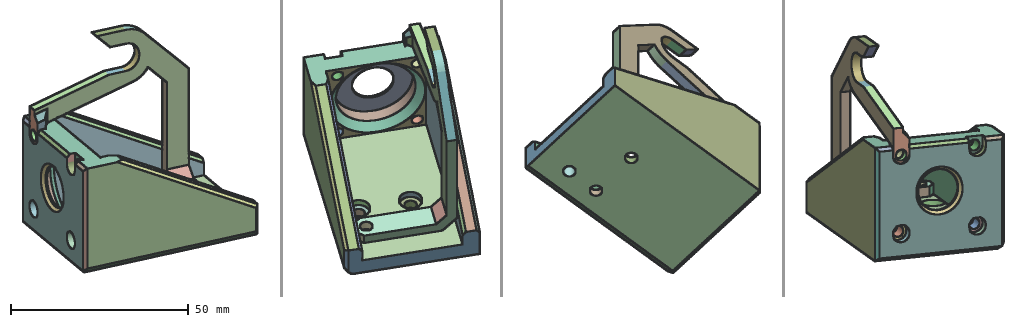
import cadquery as cq
import math

width = 39.0
length = 55.5
wall_top = 33.25
wall = 5.0
face_thickness = 7.6
small_chamfer = 1.0
bottom_edge_chamfer = 2.0
slope_front_y = 12.5
slope_back_z = 9.9

bore_x = 19.1
bore_z = 19.1
bore_diameter = 12.0
bore_land_end = 1.5
boss_recess_diameter = 23.0
flare_diameter = 27.6
motor_screw_pitch = 23.0
screw_diameter = 3.2
screw_head_diameter = 5.0
screw_head_depth = 2.65

floor_hole_diameter = 3.5
floor_head_diameter = 6.5
floor_head_depth = 2.0
floor_hole_y = 35.5
floor_hole_pitch_x = 15.0
floor_hole_right_x = 30.65

side_clearance = 0.2
arm_thickness = 3.0
arm_width = 6.95
arm_back_y = 49.0
arm_top = 57.55
foot_tip_chamfer = 1.95
outer_corner_cut = 4.25
inner_corner_fill = 3.05

hook_y = 29.05
hook_outer_radius = 8.65
hook_inner_radius = 4.25
hook_heel_radius = 8.4
hook_tip_y = 19.7
strut_bend_y = 23.65
strut_angle = math.radians(14.2)

pad_radius = 2.4
pad_shoulder_z = 37.3
gusset_leg = 1.5

left_screw_x = bore_x - motor_screw_pitch / 2
right_screw_x = bore_x + motor_screw_pitch / 2
lower_screw_z = bore_z - motor_screw_pitch / 2
upper_screw_z = bore_z + motor_screw_pitch / 2
upright_front_y = arm_back_y - arm_width
foot_centre_y = arm_back_y - arm_width / 2
arm_left_x = wall + side_clearance
arm_right_x = arm_left_x + arm_thickness


def cylinder_y(x, z, diameter, y_start, depth):
    """Cylinder along +Y."""
    axis = cq.Vector(0, 1, 0)
    return cq.Workplane(cq.Solid.makeCylinder(diameter / 2, depth, cq.Vector(x, y_start, z), axis))


def cylinder_z(x, y, diameter, z_start, depth):
    """Cylinder along +Z."""
    return cq.Workplane(cq.Solid.makeCylinder(diameter / 2, depth, cq.Vector(x, y, z_start)))


def prism_x(points, x_start, x_end):
    """Straight-sided (y, z) outline extruded along X."""
    outline = cq.Workplane("YZ", origin=(x_start, 0, 0)).polyline(points).close()
    return outline.extrude(x_end - x_start)


def prism_y(points, y_start, y_end):
    """Straight-sided (x, z) outline extruded along Y."""
    outline = cq.Workplane("XZ", origin=(0, y_start, 0)).polyline(points).close()
    return outline.extrude(y_start - y_end)


def bracket_shell():
    """Floor, face plate and the two sloping side walls."""
    side_outline = [
        (0, 0), (length, 0), (length, slope_back_z), (slope_front_y, wall_top), (0, wall_top),
    ]
    shell = prism_x(side_outline, 0, width)
    inside = cq.Workplane("XY").box(
        width - 2 * wall, length - face_thickness, wall_top, centered=False
    ).translate((wall, face_thickness, wall))
    shell = shell.cut(inside)

    slope_middle_y = (slope_front_y + length) / 2
    slope_middle_z = (wall_top + slope_back_z) / 2
    for x in (0, wall, width - wall, width):
        edge = cq.selectors.NearestToPointSelector((x, slope_middle_y, slope_middle_z))
        shell = shell.edges(edge).chamfer(small_chamfer)

    shell = shell.faces("<Y").edges().chamfer(small_chamfer)
    return shell.cut(right_side_bevels())


def right_side_bevels():
    """Material removed from the lower and the back edge of the +X side."""
    lower = prism_y(
        [(width, 0), (width - bottom_edge_chamfer, 0), (width, bottom_edge_chamfer)], 0, length
    )
    back = (
        cq.Workplane("XY")
        .polyline([(width, length), (width - small_chamfer, length), (width, length - small_chamfer)])
        .close()
        .extrude(wall_top)
    )
    return lower.union(back)


def cone_y(front_diameter, back_diameter, y_start, depth):
    """Cone frustum about the axis of the bore, along +Y."""
    start = cq.Vector(bore_x, y_start, bore_z)
    return cq.Workplane(
        cq.Solid.makeCone(front_diameter / 2, back_diameter / 2, depth, start, cq.Vector(0, 1, 0))
    )


def motor_bore():
    """Shaft bore with a chamfered mouth and a wider boss recess with a back flared at 45 degrees."""
    bore = cylinder_y(bore_x, bore_z, bore_diameter, 0, face_thickness)
    mouth = cone_y(bore_diameter + 2 * small_chamfer, bore_diameter, 0, small_chamfer)
    flare_depth = (flare_diameter - boss_recess_diameter) / 2
    flare_start = face_thickness - flare_depth
    recess = cylinder_y(
        bore_x, bore_z, boss_recess_diameter, bore_land_end, flare_start - bore_land_end
    )
    flare = cone_y(boss_recess_diameter, flare_diameter, flare_start, flare_depth)
    return bore.union(mouth).union(recess).union(flare)


def motor_screw_hole(x, z):
    """Through hole with a screw head counterbore on the front."""
    hole = cylinder_y(x, z, screw_diameter, 0, face_thickness)
    return hole.union(cylinder_y(x, z, screw_head_diameter, 0, screw_head_depth))


def screw_head_slot(x):
    """Opens the counterbore of an upper screw to the top of the face plate."""
    slot = cq.Workplane("XY").box(
        screw_head_diameter, screw_head_depth, wall_top - upper_screw_z, centered=(True, False, False)
    )
    return slot.translate((x, 0, upper_screw_z))


def make_bracket():
    body = bracket_shell().cut(motor_bore())
    for x in (left_screw_x, right_screw_x):
        for z in (lower_screw_z, upper_screw_z):
            body = body.cut(motor_screw_hole(x, z))
        body = body.cut(screw_head_slot(x))

    for x in (floor_hole_right_x - floor_hole_pitch_x, floor_hole_right_x):
        body = body.cut(cylinder_z(x, floor_hole_y, floor_hole_diameter, 0, wall))
        head_z = wall - floor_head_depth
        body = body.cut(cylinder_z(x, floor_hole_y, floor_head_diameter, head_z, floor_head_depth))
    return body.cut(cylinder_z(floor_hole_right_x, foot_centre_y, floor_hole_diameter, 0, wall))


hook_z = arm_top - hook_outer_radius
strut_rise = math.tan(strut_angle)
strut_bend_z = hook_z - hook_inner_radius
strut_front_top = strut_bend_z - strut_bend_y * strut_rise


def strut_underside(y):
    """Height of the strut's lower face, which is tangent to the heel of the hook."""
    return hook_z - hook_heel_radius / math.cos(strut_angle) + (y - hook_y) * strut_rise


def hook_point(radius, angle):
    """Point (y, z) on a circle about the hook's centre; the angle is in radians from +Y."""
    return (hook_y + radius * math.cos(angle), hook_z + radius * math.sin(angle))


def hooked_side():
    """Upright, sloping link, open hook and strut as one flat plate."""
    diagonal = math.radians(45)
    link_outer = hook_y + hook_z + hook_outer_radius * math.sqrt(2)
    link_inner = link_outer - arm_width * math.sqrt(2)
    lip_z = hook_z + hook_inner_radius
    lip_y = hook_tip_y + arm_top - lip_z

    notch_angle = diagonal - math.acos((link_inner - hook_y - hook_z) / (hook_heel_radius * math.sqrt(2)))
    strut_tangent_angle = strut_angle - math.pi / 2
    heel_middle_angle = (notch_angle + strut_tangent_angle) / 2

    plate = (
        cq.Workplane("YZ", origin=(arm_left_x, 0, 0))
        .moveTo(arm_back_y, wall)
        .lineTo(arm_back_y, link_outer - arm_back_y)
        .lineTo(*hook_point(hook_outer_radius, diagonal))
        .threePointArc(
            hook_point(hook_outer_radius, 1.5 * diagonal), hook_point(hook_outer_radius, 2 * diagonal)
        )
        .lineTo(hook_tip_y, arm_top)
        .lineTo(lip_y, lip_z)
        .lineTo(hook_y, lip_z)
        .threePointArc((hook_y + hook_inner_radius, hook_z), (hook_y, strut_bend_z))
        .lineTo(strut_bend_y, strut_bend_z)
        .lineTo(0, strut_front_top)
        .lineTo(0, strut_underside(0))
        .lineTo(*hook_point(hook_heel_radius, strut_tangent_angle))
        .threePointArc(
            hook_point(hook_heel_radius, heel_middle_angle), hook_point(hook_heel_radius, notch_angle)
        )
        .lineTo(upright_front_y, link_inner - upright_front_y)
        .lineTo(upright_front_y, wall)
        .close()
    )
    return plate.extrude(arm_thickness)


def foot():
    """Bar on the floor with a pointed end, blended into the upright by a sloping corner."""
    bar_top = wall + arm_thickness
    bar = cq.Workplane("XY").box(
        width - wall - arm_left_x, arm_width, arm_thickness, centered=False
    ).translate((arm_left_x, upright_front_y, wall))
    bar = bar.edges("|Z and >X").chamfer(foot_tip_chamfer)
    fill = prism_y(
        [
            (arm_right_x, bar_top),
            (arm_right_x + inner_corner_fill, bar_top),
            (arm_right_x, bar_top + inner_corner_fill),
        ],
        upright_front_y, arm_back_y,
    )
    return bar.union(fill)


def outer_corner():
    """Material removed from the lower outside corner of the arm."""
    return prism_y(
        [(arm_left_x, wall), (arm_left_x + outer_corner_cut, wall), (arm_left_x, wall + outer_corner_cut)],
        upright_front_y, arm_back_y,
    )


def screw_pad():
    """Rounded pad that fills the left screw head slot."""
    pad = cylinder_y(left_screw_x, upper_screw_z, 2 * pad_radius, 0, screw_head_depth)
    block = cq.Workplane("XY").box(
        2 * pad_radius, screw_head_depth, strut_underside(screw_head_depth) - upper_screw_z,
        centered=(True, False, False),
    )
    return pad.union(block.translate((left_screw_x, 0, upper_screw_z)))


def pad_gusset():
    """Joins the pad to the strut, with a sloping shoulder on top and a bevel at the back."""
    pad_right_x = left_screw_x + pad_radius
    back_y = screw_head_depth + gusset_leg
    plan = (
        cq.Workplane("XY")
        .polyline([
            (arm_left_x, 0), (pad_right_x, 0), (pad_right_x, screw_head_depth),
            (arm_right_x + gusset_leg, screw_head_depth), (arm_right_x, back_y), (arm_left_x, back_y),
        ])
        .close()
        .extrude(arm_top)
    )
    side = prism_x(
        [
            (0, strut_underside(0)), (back_y, strut_underside(back_y)),
            (back_y, strut_front_top + back_y * strut_rise), (0, strut_front_top),
        ],
        arm_left_x, pad_right_x,
    )
    shoulder_drop = pad_right_x - arm_right_x
    above_shoulder = (
        cq.Workplane("XZ")
        .polyline([
            (arm_right_x, pad_shoulder_z), (pad_right_x, pad_shoulder_z - shoulder_drop),
            (pad_right_x, arm_top), (arm_right_x, arm_top),
        ])
        .close()
    )
    sweep_path = cq.Workplane("YZ").lineTo(back_y, back_y * strut_rise)
    return side.intersect(plan).cut(above_shoulder.sweep(sweep_path))


def make_arm():
    body = hooked_side().union(foot()).cut(outer_corner())
    body = body.union(pad_gusset()).union(screw_pad())
    body = body.cut(cylinder_y(left_screw_x, upper_screw_z, screw_diameter, 0, screw_head_depth))
    return body.cut(cylinder_z(floor_hole_right_x, foot_centre_y, floor_hole_diameter, wall, arm_thickness))


bracket = make_bracket()
arm = make_arm()

result = cq.Compound.makeCompound([bracket.solids().val(), arm.solids().val()])